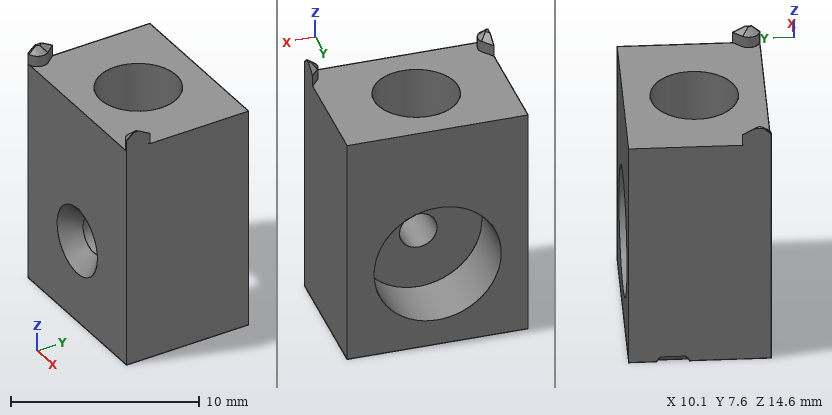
import cadquery as cq

width = 10.08
depth = 7.6
total_height = 14.55
block_height = 13.52
side_face = width / 2
front_face = -depth / 2
rear_face = depth / 2

bore_diameter = 4.7
bore_floor = 8.55

screw_height = 5.08
screw_diameter = 2.1
countersink_diameter = 4.1
pocket_diameter = 7.09
pocket_seat_from_front = 4.16

nib_length = 1.54
nib_front_half_width = 0.12
nib_arc_start = (0.51, 0.93)
nib_arc_middle = (0.61, 0.63)
nib_shoulder = 14.17
nib_tip_front = 0.44
nib_tip_rear = 0.85
nib_tip_half_width = 0.19
right_nib_trim = 0.07

notch_front = 4.35
notch_length = 1.76
notch_height = 0.3
notch_corner = 0.22
notch_inset = 0.17


def make_block():
    return cq.Workplane("XY").box(width, depth, block_height, centered=(True, True, False))


def make_bore():
    bore_depth = block_height - bore_floor
    return cq.Workplane("XY", origin=(0, 0, bore_floor)).circle(bore_diameter / 2).extrude(bore_depth)


def make_screw_hole():
    """Hole through Y, countersunk at the front, with a wide round pocket open at the rear."""
    axis = cq.Vector(0, 1, 0)
    entry = cq.Vector(0, front_face, screw_height)
    sink_depth = (countersink_diameter - screw_diameter) / 2
    hole = cq.Solid.makeCylinder(screw_diameter / 2, depth, entry, axis)
    sink = cq.Solid.makeCone(countersink_diameter / 2, screw_diameter / 2, sink_depth, entry, axis)
    pocket = (
        cq.Workplane("XZ", origin=(0, rear_face, screw_height))
        .circle(pocket_diameter / 2)
        .extrude(depth - pocket_seat_from_front)
    )
    return pocket.union(cq.Workplane(hole)).union(cq.Workplane(sink))


def make_left_nib():
    """Upright nib with a bevelled tip, flush with the -X face at the front corner."""
    corner = (-side_face, front_face, block_height)
    shoulder = nib_shoulder - block_height
    tip_rise = total_height - nib_shoulder
    stem = (
        cq.Workplane("XY", origin=corner)
        .lineTo(nib_front_half_width, 0)
        .threePointArc(nib_arc_middle, nib_arc_start)
        .lineTo(0, nib_length)
        .close()
    )
    tip = (
        cq.Workplane("XY", origin=corner)
        .workplane(offset=shoulder)
        .lineTo(nib_front_half_width, 0)
        .threePointArc(nib_arc_middle, nib_arc_start)
        .lineTo(0, nib_length)
        .close()
        .workplane(offset=tip_rise)
        .moveTo(0, nib_tip_front)
        .lineTo(nib_tip_half_width / 2, nib_tip_front)
        .lineTo(nib_tip_half_width, (nib_tip_front + nib_tip_rear) / 2)
        .lineTo(0, nib_tip_rear)
        .close()
        .loft(ruled=True)
    )
    return stem.extrude(shoulder).union(tip)


def make_pry_notch():
    """Notch whose roof slopes steeply inward and down to the base."""
    start = front_face + notch_front
    end = start + notch_length
    outline = [
        (start, 0),
        (start + notch_corner, notch_height),
        (end - notch_corner, notch_height),
        (end, 0),
    ]
    prism = cq.Workplane("YZ", origin=(-side_face, 0, 0)).polyline(outline).close().extrude(notch_inset)
    slope = (
        cq.Workplane("XZ", origin=(-side_face, end, 0))
        .polyline([(0, 0), (notch_inset, 0), (0, notch_height)])
        .close()
        .extrude(notch_length)
    )
    return prism.intersect(slope)


left_nib = make_left_nib()
envelope = cq.Workplane("XY").box(width, depth, total_height, centered=(True, True, False))
right_nib = left_nib.mirror("YZ").translate((right_nib_trim, 0, 0)).intersect(envelope)

result = make_block().union(left_nib).union(right_nib)
result = result.cut(make_bore()).cut(make_screw_hole()).cut(make_pry_notch())